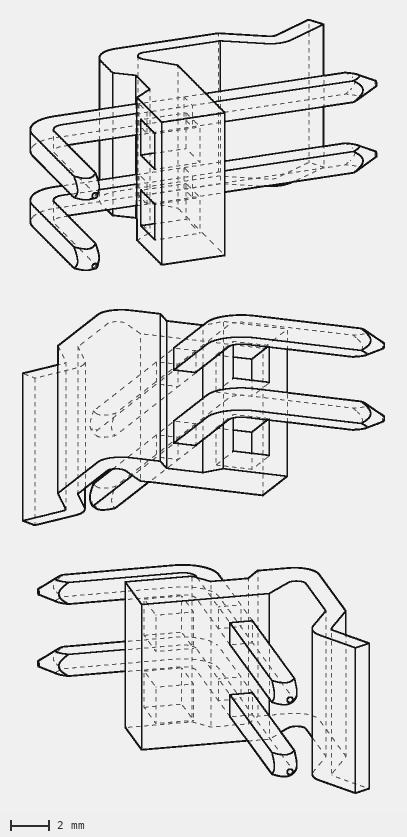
import cadquery as cq
import math


block_length = 10.0
block_depth = 3.5
housing_height = 8.0
base_corner_radius = 1.3

arm_thickness = 1.0
bend_angle = math.radians(30)
arm_bend_y = 7.0
arm_knee_y = 9.5
knee_inner_radius = 0.4
root_radius = 0.5
root_floor_y = 2.0
ramp_angle = math.radians(45)

pin_count = 2
pin_pitch = 3.96
pin_width = 1.2
pin_x = 4.7
pin_top_y = 13.9
pin_bottom_y = -5.6
pin_right_x = 13.37
pin_inner_bend_radius = 0.7
tip_radius = 0.15
tip_length = 1.45

channel_depth = 1.0
channel_floor_width = 2.0
channel_mouth_width = 3.5

pocket_size = 2.0
pocket_x = 8.0
pocket_depth = 2.5

pin_levels = [(i - (pin_count - 1) / 2) * pin_pitch for i in range(pin_count)]


def housing_profile():
    """Block and latch arm as one closed outline, with the two points of the arm's knee."""
    knee_x = (arm_knee_y - arm_bend_y) * math.tan(bend_angle)
    tip_y = 2 * arm_knee_y - arm_bend_y
    inner_knee_x = knee_x + arm_thickness / math.cos(bend_angle)
    inner_bend_y = arm_bend_y - arm_thickness * math.tan(bend_angle / 2)

    root_x = arm_thickness + root_radius
    root_y = root_floor_y + root_radius
    ramp_start_x = root_x + root_radius * math.sin(ramp_angle)
    ramp_start_y = root_y - root_radius * math.cos(ramp_angle)
    ramp_top_x = ramp_start_x + (block_depth - ramp_start_y) / math.tan(ramp_angle)
    half_sweep = (math.pi / 2 + ramp_angle) / 2
    root_mid_x = root_x - root_radius * math.cos(half_sweep)
    root_mid_y = root_y - root_radius * math.sin(half_sweep)

    outline = (
        cq.Workplane("XY")
        .workplane(offset=-housing_height / 2)
        .moveTo(0, 0)
        .lineTo(pin_x - channel_mouth_width / 2, 0)
        .lineTo(pin_x - channel_floor_width / 2, channel_depth)
        .lineTo(pin_x + channel_floor_width / 2, channel_depth)
        .lineTo(pin_x + channel_mouth_width / 2, 0)
        .lineTo(block_length, 0)
        .lineTo(block_length, block_depth)
        .lineTo(ramp_top_x, block_depth)
        .lineTo(ramp_start_x, ramp_start_y)
        .threePointArc((root_mid_x, root_mid_y), (arm_thickness, root_y))
        .lineTo(arm_thickness, inner_bend_y)
        .lineTo(inner_knee_x, arm_knee_y)
        .lineTo(arm_thickness * math.cos(bend_angle), tip_y + arm_thickness * math.sin(bend_angle))
        .lineTo(0, tip_y)
        .lineTo(knee_x, arm_knee_y)
        .lineTo(0, arm_bend_y)
        .close()
    )
    return outline, (knee_x, arm_knee_y), (inner_knee_x, arm_knee_y)


def round_edge_at(body, point, radius):
    """Fillet the vertical edge that passes through the given XY point."""
    edge = body.edges("|Z").edges(cq.selectors.NearestToPointSelector((*point, 0)))
    return edge.fillet(radius)


def make_housing():
    outline, knee, inner_knee = housing_profile()
    body = outline.extrude(housing_height)
    body = round_edge_at(body, (0, 0), base_corner_radius)
    body = round_edge_at(body, knee, knee_inner_radius)
    body = round_edge_at(body, inner_knee, knee_inner_radius + arm_thickness)
    for z in pin_levels:
        pin_hole = cq.Workplane("XY").box(pin_width, block_depth, pin_width)
        body = body.cut(pin_hole.translate((pin_x, block_depth / 2, z)))
        pocket = cq.Workplane("XY").box(pocket_size, pocket_depth, pocket_size)
        body = body.cut(pocket.translate((pocket_x, pocket_depth / 2, z)))
    return body


def make_pointed_leg(length):
    """Square bar along +Y from the origin, its far end turned to a blunt cone."""
    bar = cq.Workplane("XZ").rect(pin_width, pin_width).extrude(-length)
    corner_radius = pin_width / math.sqrt(2)
    envelope = (
        cq.Workplane("XY")
        .moveTo(0, 0)
        .lineTo(-corner_radius, 0)
        .lineTo(-corner_radius, length - tip_length)
        .lineTo(-tip_radius, length)
        .lineTo(0, length)
        .close()
        .revolve(360, (0, 0, 0), (0, 1, 0))
    )
    return bar.intersect(envelope)


def make_pin(z):
    outer_bend_radius = pin_inner_bend_radius + pin_width
    bend_x = pin_x - pin_width / 2 + outer_bend_radius
    bend_y = pin_bottom_y + outer_bend_radius
    bent_leg_y = pin_bottom_y + pin_width / 2

    straight_leg = make_pointed_leg(pin_top_y - bend_y).translate((pin_x, bend_y, 0))
    bent_leg = (
        make_pointed_leg(pin_right_x - bend_x)
        .rotate((0, 0, 0), (0, 0, 1), -90)
        .translate((bend_x, bent_leg_y, 0))
    )
    bend = (
        cq.Workplane("XZ", origin=(pin_x, bend_y, 0))
        .rect(pin_width, pin_width)
        .revolve(90, (bend_x - pin_x, 0, 0), (bend_x - pin_x, 1, 0))
    )
    return straight_leg.union(bend).union(bent_leg).translate((0, 0, z))


housing = make_housing()
pins = [make_pin(z) for z in pin_levels]

result = cq.Compound.makeCompound([housing.val(), *[pin.val() for pin in pins]])